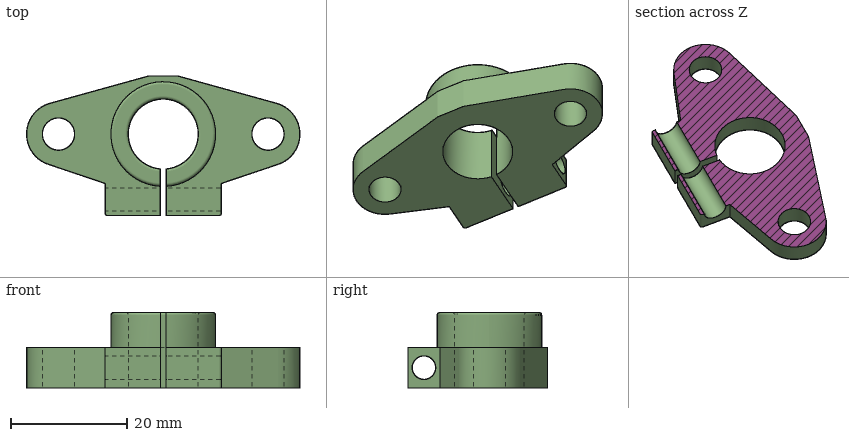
import cadquery as cq
import math

plate_thickness = 7.0
total_height = 13.0
back_edge_y = 10.0
back_flat_half_width = 2.5

mount_spacing = 36.0
mount_hole_diameter = 5.5
ear_radius = 5.5
ear_x = mount_spacing / 2

block_half_width = 10.0
block_front_y = -14.0
block_root_y = -8.5
block_corner_radius = 0.4
slit_width = 1.0
clamp_hole_diameter = 4.0
clamp_hole_y = (block_front_y + block_root_y) / 2
clamp_hole_z = plate_thickness / 2

collar_diameter = 18.0
bore_diameter = 12.0
rim_radius = 0.5


def ear_tangent_point(corner_x, corner_y):
    """Point where the flank from a corner touches the right ear, on the corner's Y side."""
    side = math.copysign(1, corner_y)
    run = ear_x - corner_x
    rise = abs(corner_y)
    flank_angle = math.atan2(rise, run) - math.asin(ear_radius / math.hypot(run, rise))
    return (
        ear_x + ear_radius * math.sin(flank_angle),
        side * ear_radius * math.cos(flank_angle),
    )


def mirrored(point):
    """Point reflected across the YZ plane."""
    return (-point[0], point[1])


def make_flange():
    """Two-eared plate with the clamp block on its front side."""
    back_corner = (back_flat_half_width, back_edge_y)
    root_corner = (block_half_width, block_root_y)
    front_corner = (block_half_width, block_front_y)
    ear_back = ear_tangent_point(*back_corner)
    ear_front = ear_tangent_point(*root_corner)
    ear_tip = (ear_x + ear_radius, 0)

    flange = (
        cq.Workplane("XY")
        .moveTo(*mirrored(back_corner))
        .lineTo(*back_corner)
        .lineTo(*ear_back)
        .threePointArc(ear_tip, ear_front)
        .lineTo(*root_corner)
        .lineTo(*front_corner)
        .lineTo(*mirrored(front_corner))
        .lineTo(*mirrored(root_corner))
        .lineTo(*mirrored(ear_front))
        .threePointArc(mirrored(ear_tip), mirrored(ear_back))
        .close()
        .extrude(plate_thickness)
    )
    return flange.faces("<Y").edges("|Z").fillet(block_corner_radius)


def add_collar(body):
    """Collar around the shaft bore, with both top rims rounded."""
    collar = cq.Workplane("XY").circle(collar_diameter / 2).extrude(total_height)
    bore = cq.Workplane("XY").circle(bore_diameter / 2).extrude(total_height)
    return body.union(collar).cut(bore).faces(">Z").edges().fillet(rim_radius)


def cut_mount_holes(body):
    """Vertical through holes, one in each ear."""
    holes = (
        cq.Workplane("XY")
        .pushPoints([(-ear_x, 0), (ear_x, 0)])
        .circle(mount_hole_diameter / 2)
        .extrude(plate_thickness)
    )
    return body.cut(holes)


def cut_clamp_slit(body):
    """Slit from the bore out through the front of the collar and block."""
    slit = cq.Workplane("XY").box(
        slit_width, -block_front_y, total_height, centered=(True, False, False)
    ).translate((0, block_front_y, 0))
    return body.cut(slit)


def cut_clamp_hole(body):
    """Screw hole along X through both halves of the clamp block."""
    hole = (
        cq.Workplane("YZ")
        .center(clamp_hole_y, clamp_hole_z)
        .circle(clamp_hole_diameter / 2)
        .extrude(block_half_width, both=True)
    )
    return body.cut(hole)


part = add_collar(make_flange())
part = cut_mount_holes(part)
part = cut_clamp_slit(part)
result = cut_clamp_hole(part)